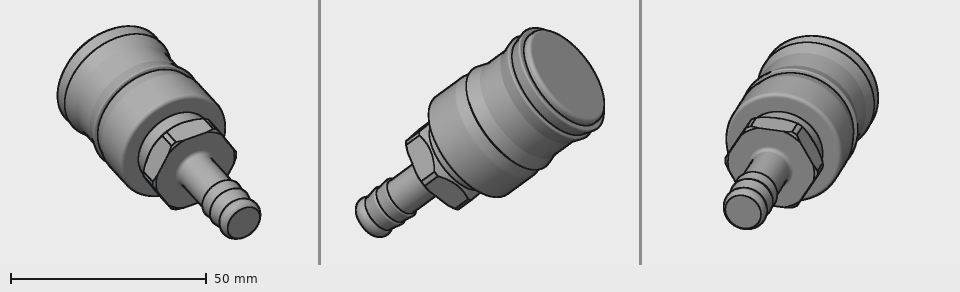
import cadquery as cq
import math


total_length = 71.23
stem_length = 25.0
hex_length = 7.0
neck_length = 4.0
hex_end = total_length - stem_length
hex_start = hex_end - hex_length
sleeve_end = hex_start - neck_length

sleeve_radius = 31.0 / 2
waist_radius = 29.0 / 2
lip_radius = 28.0 / 2
edge_fillet = 1.0
lip_length = 1.95
waist_middle = 13.53
waist_half_length = 3.65
grip_flank_length = 3.95
step_length = 0.33
rib_apex_radius = 15.67
rib_fillet = 0.4
valley_radius = 14.65
shoulder_start = 24.7
shoulder_radius = 15.45
shoulder_length = 0.4

neck_radius = 21.0 / 2
hex_flats = 22.0
hex_corner_radius = 24.6 / 2
hex_back_radius = 11.5
hex_back_chamfer = 0.4

stem_radius = 10.1 / 2
stem_fillet = 1.0
barb_apex_radius = 5.76
barb_fillet = 0.25
first_barb_start = 59.68
first_barb_end = 63.3
first_barb_end_radius = 5.3
second_barb_apex = 63.8
second_barb_end = 67.6
bulb_crest = 69.25
bulb_radius = 5.7
bulb_end_radius = 4.75


def quarter_arc_middle(center_x, center_r, radius, side_x, side_r):
    """Middle point of a quarter arc on the given side of its centre."""
    offset = radius * math.sqrt(0.5)
    return (center_x + side_x * offset, center_r + side_r * offset)


def revolve_about_x(profile):
    return profile.close().revolve(360, (0, 0, 0), (1, 0, 0))


def make_sleeve():
    inner_rib = waist_half_length + grip_flank_length
    valley = inner_rib + step_length

    front_middle = quarter_arc_middle(edge_fillet, lip_radius - edge_fillet, edge_fillet, -1, 1)
    back_middle = quarter_arc_middle(
        sleeve_end - edge_fillet, sleeve_radius - edge_fillet, edge_fillet, 1, 1
    )
    profile = (
        cq.Workplane("XY")
        .moveTo(0, 0)
        .lineTo(0, lip_radius - edge_fillet)
        .threePointArc(front_middle, (edge_fillet, lip_radius))
        .lineTo(lip_length, lip_radius)
        .lineTo(lip_length, rib_apex_radius)
        .lineTo(waist_middle - valley, valley_radius)
        .lineTo(waist_middle - inner_rib, rib_apex_radius)
        .lineTo(waist_middle - waist_half_length, waist_radius)
        .lineTo(waist_middle + waist_half_length, waist_radius)
        .lineTo(waist_middle + inner_rib, rib_apex_radius)
        .lineTo(waist_middle + valley, valley_radius)
        .lineTo(shoulder_start, shoulder_radius)
        .tangentArcPoint((shoulder_start + shoulder_length, sleeve_radius), relative=False)
        .lineTo(sleeve_end - edge_fillet, sleeve_radius)
        .threePointArc(back_middle, (sleeve_end, sleeve_radius - edge_fillet))
        .lineTo(sleeve_end, 0)
    )
    rib_corners = cq.selectors.RadiusNthSelector(-1)
    return revolve_about_x(profile).edges(rib_corners).fillet(rib_fillet)


def make_neck():
    return cq.Workplane("YZ").workplane(offset=sleeve_end).circle(neck_radius).extrude(neck_length)


def make_hexagon():
    across_corners = hex_flats / math.cos(math.pi / 6)
    prism = (
        cq.Workplane("YZ")
        .workplane(offset=hex_start)
        .polygon(6, across_corners)
        .extrude(hex_length)
    )
    front_cone_length = hex_corner_radius - neck_radius
    envelope = revolve_about_x(
        cq.Workplane("XY")
        .moveTo(hex_start, 0)
        .lineTo(hex_start, neck_radius)
        .lineTo(hex_start + front_cone_length, hex_corner_radius)
        .lineTo(hex_end - hex_back_chamfer, hex_corner_radius)
        .lineTo(hex_end, hex_back_radius)
        .lineTo(hex_end, 0)
    )
    return prism.intersect(envelope)


def make_stem():
    fillet_end = hex_end + stem_fillet
    fillet_top = stem_radius + stem_fillet
    fillet_middle = quarter_arc_middle(fillet_end, fillet_top, stem_fillet, -1, -1)
    profile = (
        cq.Workplane("XY")
        .moveTo(hex_end, 0)
        .lineTo(hex_end, fillet_top)
        .threePointArc(fillet_middle, (fillet_end, stem_radius))
        .lineTo(first_barb_start, stem_radius)
        .lineTo(first_barb_start, barb_apex_radius)
        .lineTo(first_barb_end, first_barb_end_radius)
        .lineTo(second_barb_apex, barb_apex_radius)
        .lineTo(second_barb_end, stem_radius)
        .threePointArc((bulb_crest, bulb_radius), (total_length, bulb_end_radius))
        .lineTo(total_length, 0)
    )
    barb_corners = cq.selectors.RadiusNthSelector(-2)
    return revolve_about_x(profile).edges(barb_corners).fillet(barb_fillet)


result = make_sleeve().union(make_neck()).union(make_hexagon()).union(make_stem())